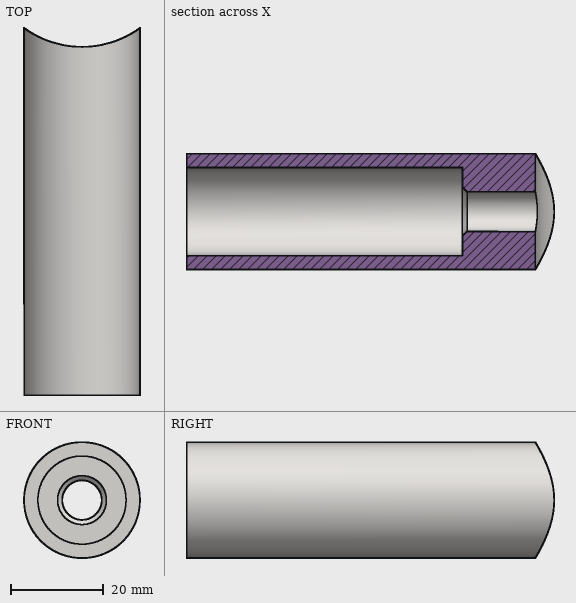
import cadquery as cq

length = 79.1
outer_diameter = 25.0
saddle_radius = 21.2

bore_diameter = 19.0
bore_depth = 59.3
hole_diameter = 8.5
countersink_diameter = 10.5
countersink_depth = (countersink_diameter - hole_diameter) / 2

outer_radius = outer_diameter / 2


def cylinder_along_y(diameter, start, depth):
    """Cylinder on the Y axis running toward +Y from start."""
    plane = cq.Workplane("XZ", origin=(0, start, 0))
    return plane.circle(diameter / 2).extrude(-depth)


def saddle_cutter():
    """Cylinder parallel to Z that leaves the rim corners at full length."""
    axis_offset = (saddle_radius**2 - outer_radius**2) ** 0.5
    plane = cq.Workplane("XY").center(0, length + axis_offset)
    return plane.circle(saddle_radius).extrude(outer_radius, both=True)


def countersink():
    """45-degree cone narrowing from the bore floor to the through hole."""
    plane = cq.Workplane("XZ", origin=(0, bore_depth, 0))
    return (
        plane.circle(countersink_diameter / 2)
        .workplane(offset=-countersink_depth)
        .circle(hole_diameter / 2)
        .loft(ruled=True)
    )


result = (
    cylinder_along_y(outer_diameter, 0, length)
    .cut(saddle_cutter())
    .cut(cylinder_along_y(bore_diameter, 0, bore_depth))
    .cut(cylinder_along_y(hole_diameter, 0, length))
    .cut(countersink())
)